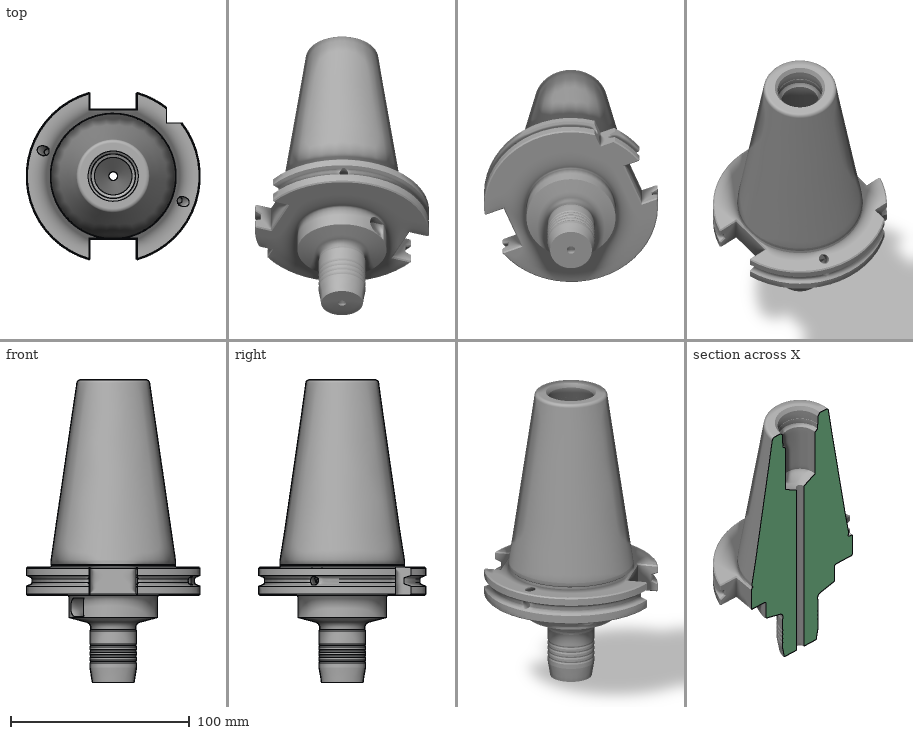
import cadquery as cq
import math

TOTAL_HEIGHT = 169.6
GAUGE_Z = 68.2
FLANGE_TOP_Z = 64.6
FLANGE_BOTTOM_Z = 48.8

GAUGE_RADIUS = 35.0
TAPER_SLOPE = 7 / 48
RIM_FILLET = 2.0
GAUGE_BAND = 2.0
UNDERCUT_DEPTH = 0.5
TAPER_FOOT_RADIUS = 35.3

FLANGE_DIAMETER = 97.5
FLANGE_RADIUS = FLANGE_DIAMETER / 2
FLANGE_CHAMFER = 0.7
GROOVE_FLOOR_RADIUS = 45.6
GROOVE_CENTER_Z = 57.0
GROOVE_HALF_MOUTH = 3.0
GROOVE_FLANK_ANGLE = 24
GROOVE_FILLET = 1.0
RIM_CLEARANCE = 1.7

SLOT_WIDTH = 25.8
SLOT_EDGE_CHAMFER = 0.7
FRONT_SLOT_FLOOR = 35.5
BACK_SLOT_FLOOR = 37.7
NOTCH_OFFSET = 29.8

BOSS_RADIUS = 25.0
BOSS_BOTTOM_Z = 36.5
BOSS_FILLET = 0.8
BOSS_CONE_ANGLE = 15

NECK_RADIUS = 12.7
NECK_FILLET = 2.7
NECK_BOTTOM_Z = 29.8
NOSE_RADIUS = 13.0
NOSE_SHOULDER_Z = 28.8
TIP_TAPER_Z = 8.3
TIP_RADIUS = 11.7
RING_COUNT = 4
RING_FIRST_Z = 20.9
RING_PITCH = 3.0
RING_WIDTH = 1.7
RING_DEPTH = 0.3

BORE_MOUTH_RADIUS = 14.0
BORE_CHAMFER_DEPTH = 2.2
PILOT_RADIUS = 12.5
PILOT_DEPTH = 8.1
RECESS_RADIUS = 12.4
RECESS_DEPTH = 11.4
THREAD_RADIUS = 10.5
THREAD_START_DEPTH = 12.7
THREAD_DEPTH = 44.1
COOLANT_RADIUS = 2.4
DRILL_HALF_ANGLE = 59

PORT_ANGLES = (160, 340)
PORT_PITCH_RADIUS = 41.7
PORT_RADIUS = 2.7
PORT_TILT = 38
CROSS_HOLE_RADIUS = 2.4

POCKET_RADIUS = 5.3
POCKET_Y = -12.9
POCKET_Z = 42.2
POCKET_FLOOR_X = -16.6


TOLERANCE = 0.02


def tan_deg(angle):
    return math.tan(math.radians(angle))


def revolve_profile(sketch):
    """Turn a closed (radius, z) outline about the Z axis."""
    return sketch.close().revolve(360, (0, 0, 0), (0, 1, 0))


def drill_tip_length(radius):
    return radius / tan_deg(DRILL_HALF_ANGLE)


def make_taper():
    top_radius = GAUGE_RADIUS - (TOTAL_HEIGHT - GAUGE_Z) * TAPER_SLOPE
    band_bottom_z = GAUGE_Z - GAUGE_BAND
    outline = (
        cq.Workplane("XZ")
        .moveTo(0, FLANGE_TOP_Z)
        .lineTo(TAPER_FOOT_RADIUS, FLANGE_TOP_Z)
        .lineTo(GAUGE_RADIUS - UNDERCUT_DEPTH, band_bottom_z - UNDERCUT_DEPTH)
        .lineTo(GAUGE_RADIUS, band_bottom_z)
        .lineTo(GAUGE_RADIUS, GAUGE_Z)
        .lineTo(top_radius, TOTAL_HEIGHT)
        .lineTo(0, TOTAL_HEIGHT)
    )
    return revolve_profile(outline).faces(">Z").edges().fillet(RIM_FILLET)


def make_gripper_groove():
    flank_rise = (FLANGE_RADIUS - GROOVE_FLOOR_RADIUS) * tan_deg(GROOVE_FLANK_ANGLE)
    half_floor = GROOVE_HALF_MOUTH - flank_rise
    clear_radius = FLANGE_RADIUS + RIM_CLEARANCE
    outline = (
        cq.Workplane("XZ")
        .moveTo(GROOVE_FLOOR_RADIUS, GROOVE_CENTER_Z - half_floor)
        .lineTo(FLANGE_RADIUS, GROOVE_CENTER_Z - GROOVE_HALF_MOUTH)
        .lineTo(clear_radius, GROOVE_CENTER_Z - GROOVE_HALF_MOUTH)
        .lineTo(clear_radius, GROOVE_CENTER_Z + GROOVE_HALF_MOUTH)
        .lineTo(FLANGE_RADIUS, GROOVE_CENTER_Z + GROOVE_HALF_MOUTH)
        .lineTo(GROOVE_FLOOR_RADIUS, GROOVE_CENTER_Z + half_floor)
    )
    return revolve_profile(outline)


def make_slot_cutter(floor_distance, direction):
    """Drive slot through the flange on the +Y or -Y side."""
    height = FLANGE_TOP_Z - FLANGE_BOTTOM_Z
    middle_z = (FLANGE_TOP_Z + FLANGE_BOTTOM_Z) / 2
    length = FLANGE_RADIUS - floor_distance
    middle_y = direction * (floor_distance + length / 2)
    return cq.Workplane("XY").box(SLOT_WIDTH, length, height).translate((0, middle_y, middle_z))


def break_slot_edges(flange):
    """Chamfer the outline of both slot walls and the face edges of the slot floors."""
    half_width = SLOT_WIDTH / 2
    sharp_edges = []
    for edge in flange.edges().vals():
        box = edge.BoundingBox()
        on_wall = box.xlen < TOLERANCE and abs(abs(box.center.x) - half_width) < TOLERANCE
        on_floor = abs(box.xlen - SLOT_WIDTH) < TOLERANCE and box.ylen < TOLERANCE
        full_height = box.zlen > FLANGE_TOP_Z - FLANGE_BOTTOM_Z - TOLERANCE
        if (on_wall or on_floor) and not full_height:
            sharp_edges.append(edge)
    return flange.newObject(sharp_edges).chamfer(SLOT_EDGE_CHAMFER)


def round_groove_floor(flange):
    """Fillet the two corners between the groove floor and its flanks."""
    floor_edges = []
    for edge in flange.edges("%CIRCLE").vals():
        if abs(edge.radius() - GROOVE_FLOOR_RADIUS) < TOLERANCE:
            floor_edges.append(edge)
    return flange.newObject(floor_edges).fillet(GROOVE_FILLET)


def make_flange():
    height = FLANGE_TOP_Z - FLANGE_BOTTOM_Z
    disc = cq.Workplane("XY").workplane(offset=FLANGE_BOTTOM_Z).circle(FLANGE_RADIUS).extrude(height)
    flange = disc.edges().chamfer(FLANGE_CHAMFER).cut(make_gripper_groove())
    flange = flange.cut(make_slot_cutter(FRONT_SLOT_FLOOR, -1))
    flange = flange.cut(make_slot_cutter(BACK_SLOT_FLOOR, 1))
    flange = break_slot_edges(flange)
    notch_size = FLANGE_RADIUS - NOTCH_OFFSET
    notch = cq.Workplane("XY").box(notch_size, notch_size, height, centered=False)
    flange = flange.cut(notch.translate((NOTCH_OFFSET, NOTCH_OFFSET, FLANGE_BOTTOM_Z)))
    return round_groove_floor(flange)


def make_boss_and_nose():
    turn = math.radians(90 - BOSS_CONE_ANGLE)
    fillet_radius_out = NECK_RADIUS + NECK_FILLET * (1 - math.cos(turn))
    fillet_radius_mid = NECK_RADIUS + NECK_FILLET * (1 - math.cos(turn / 2))
    fillet_top_z = BOSS_BOTTOM_Z - (BOSS_RADIUS - fillet_radius_out) * tan_deg(BOSS_CONE_ANGLE)
    fillet_bottom_z = fillet_top_z - NECK_FILLET * math.sin(turn)
    fillet_mid_z = fillet_bottom_z + NECK_FILLET * math.sin(turn / 2)
    outline = (
        cq.Workplane("XZ")
        .moveTo(0, 0)
        .lineTo(TIP_RADIUS, 0)
        .lineTo(NOSE_RADIUS, TIP_TAPER_Z)
        .lineTo(NOSE_RADIUS, NOSE_SHOULDER_Z)
        .lineTo(NECK_RADIUS, NECK_BOTTOM_Z)
        .lineTo(NECK_RADIUS, fillet_bottom_z)
        .threePointArc((fillet_radius_mid, fillet_mid_z), (fillet_radius_out, fillet_top_z))
        .lineTo(BOSS_RADIUS, BOSS_BOTTOM_Z)
        .lineTo(BOSS_RADIUS, FLANGE_BOTTOM_Z - BOSS_FILLET)
        .radiusArc((BOSS_RADIUS + BOSS_FILLET, FLANGE_BOTTOM_Z), BOSS_FILLET)
        .lineTo(0, FLANGE_BOTTOM_Z)
    )
    return revolve_profile(outline)


def make_nose_ring(middle_z):
    """Shallow V groove around the nose."""
    half_width = RING_WIDTH / 2
    outline = (
        cq.Workplane("XZ")
        .moveTo(NOSE_RADIUS, middle_z - half_width)
        .lineTo(NOSE_RADIUS, middle_z + half_width)
        .lineTo(NOSE_RADIUS - RING_DEPTH, middle_z)
    )
    return revolve_profile(outline)


def make_center_bore():
    thread_bottom_z = TOTAL_HEIGHT - THREAD_DEPTH
    tip_length = drill_tip_length(THREAD_RADIUS - COOLANT_RADIUS)
    outline = (
        cq.Workplane("XZ")
        .moveTo(0, 0)
        .lineTo(COOLANT_RADIUS, 0)
        .lineTo(COOLANT_RADIUS, thread_bottom_z - tip_length)
        .lineTo(THREAD_RADIUS, thread_bottom_z)
        .lineTo(THREAD_RADIUS, TOTAL_HEIGHT - THREAD_START_DEPTH)
        .lineTo(RECESS_RADIUS, TOTAL_HEIGHT - RECESS_DEPTH)
        .lineTo(RECESS_RADIUS, TOTAL_HEIGHT - PILOT_DEPTH)
        .lineTo(PILOT_RADIUS, TOTAL_HEIGHT - PILOT_DEPTH)
        .lineTo(PILOT_RADIUS, TOTAL_HEIGHT - BORE_CHAMFER_DEPTH)
        .lineTo(BORE_MOUTH_RADIUS, TOTAL_HEIGHT)
        .lineTo(0, TOTAL_HEIGHT)
    )
    return revolve_profile(outline)


def make_coolant_port(angle):
    """Hole leaning inward from the flange face, met by a radial hole from the gripper groove."""
    drop = FLANGE_TOP_Z - GROOVE_CENTER_Z
    meeting_radius = PORT_PITCH_RADIUS - drop * tan_deg(PORT_TILT)
    meeting_point = cq.Vector(meeting_radius, 0, GROOVE_CENTER_Z)
    lean = cq.Vector(tan_deg(PORT_TILT), 0, 1)
    lean_length = (drop + 2 * PORT_RADIUS) / math.cos(math.radians(PORT_TILT))
    leaning_hole = cq.Solid.makeCylinder(PORT_RADIUS, lean_length, meeting_point, lean)
    radial_length = FLANGE_RADIUS - meeting_radius
    radial_hole = cq.Solid.makeCylinder(CROSS_HOLE_RADIUS, radial_length, meeting_point, cq.Vector(1, 0, 0))
    port = cq.Workplane(leaning_hole).union(cq.Workplane(radial_hole))
    return port.rotate((0, 0, 0), (0, 0, 1), angle)


def make_screw_pocket():
    """Round seat along X with a drill-point floor, opened out sideways through the boss."""
    length = BOSS_RADIUS + POCKET_FLOOR_X
    seat = cq.Solid.makeCylinder(
        POCKET_RADIUS, length, cq.Vector(-BOSS_RADIUS, POCKET_Y, POCKET_Z), cq.Vector(1, 0, 0)
    )
    drill_point = cq.Solid.makeCone(
        POCKET_RADIUS,
        0,
        drill_tip_length(POCKET_RADIUS),
        cq.Vector(POCKET_FLOOR_X, POCKET_Y, POCKET_Z),
        cq.Vector(1, 0, 0),
    )
    opening_width = BOSS_RADIUS + POCKET_Y
    opening = cq.Workplane("XY").box(length, opening_width, 2 * POCKET_RADIUS, centered=False)
    opening = opening.translate((-BOSS_RADIUS, -BOSS_RADIUS, POCKET_Z - POCKET_RADIUS))
    return opening.union(cq.Workplane(seat)).union(cq.Workplane(drill_point))


result = make_flange().union(make_taper()).union(make_boss_and_nose())
for index in range(RING_COUNT):
    result = result.cut(make_nose_ring(RING_FIRST_Z - index * RING_PITCH))
for port_angle in PORT_ANGLES:
    result = result.cut(make_coolant_port(port_angle))
result = result.cut(make_screw_pocket())
result = result.cut(make_center_bore())